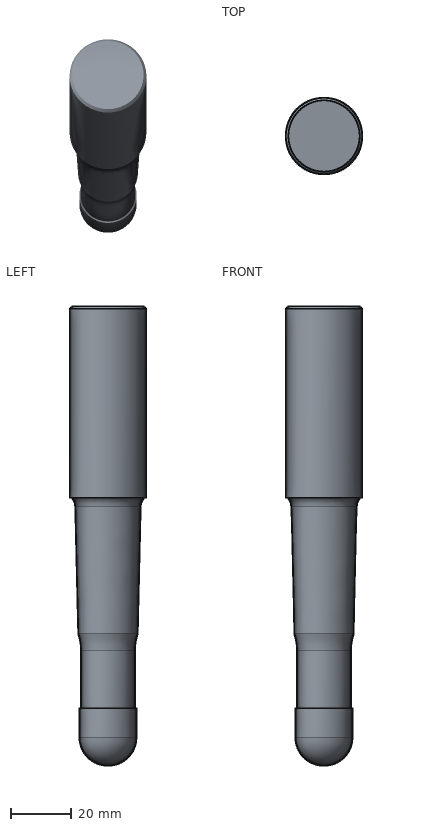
import cadquery as cq
import math

tip_radius = 9.52
tip_height = 19.0

neck_radius = 9.0
taper_bottom_radius = 9.9
taper_top_radius = 10.9
shoulder_inner_radius = 12.0
shank_radius = 12.73

neck_top = 38.4
taper_bottom = 43.9
taper_top = 86.1
shank_bottom = 88.8
overall_height = 152.4
end_chamfer = 0.9

tip_plane = cq.Plane(origin=(0, 0, 0), xDir=(-1, 0, 0), normal=(0, 1, 0))
holder_plane = cq.Plane(origin=(0, 0, 0), xDir=(0, -1, 0), normal=(-1, 0, 0))


def revolve_about_z(section):
    """Spin a closed half-section fully around the Z axis."""
    return section.revolve(360, (0, 0), (0, 1))


def make_tip():
    """Cylindrical collar ending in a hemisphere."""
    diagonal = tip_radius * math.sqrt(0.5)
    section = (
        cq.Workplane(tip_plane)
        .moveTo(0, 0)
        .threePointArc((diagonal, tip_radius - diagonal), (tip_radius, tip_radius))
        .lineTo(tip_radius, tip_height)
        .lineTo(0, tip_height)
        .close()
    )
    return revolve_about_z(section)


def make_holder():
    """Neck, tapered middle and chamfered shank, with a concave fillet at each end of the taper."""
    section = (
        cq.Workplane(holder_plane)
        .moveTo(0, tip_height)
        .lineTo(neck_radius, tip_height)
        .lineTo(neck_radius, neck_top)
        .tangentArcPoint((taper_bottom_radius, taper_bottom), relative=False)
        .lineTo(taper_top_radius, taper_top)
        .tangentArcPoint((shoulder_inner_radius, shank_bottom), relative=False)
        .lineTo(shank_radius, shank_bottom)
        .lineTo(shank_radius, overall_height - end_chamfer)
        .lineTo(shank_radius - end_chamfer, overall_height)
        .lineTo(0, overall_height)
        .close()
    )
    return revolve_about_z(section)


tip = make_tip()
holder = make_holder()

result = cq.Compound.makeCompound([tip.val(), holder.val()])